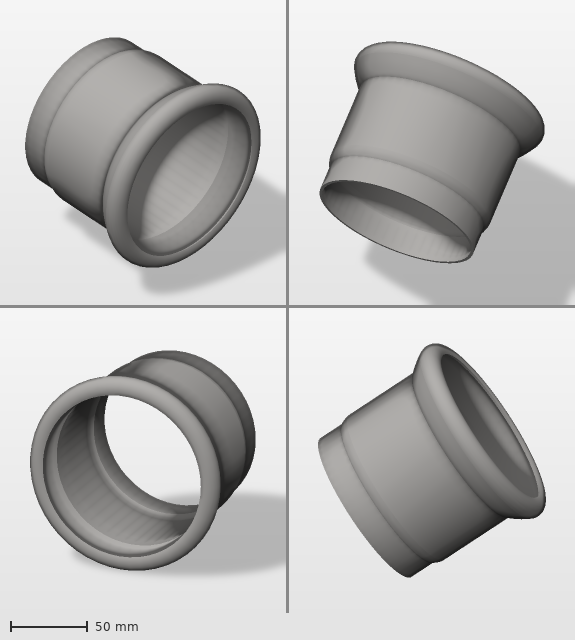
import cadquery as cq
import math

length = 100.0
outer_radius = 132.5 / 2
wall = 2.0

spigot_radius = 108.0 / 2
socket_radius = 112.7 / 2
step_start = 18.0
step_end = 24.9

flare_start = 76.5
flare_end = 89.4
lip_radius = 7.3
mouth_radius = 110.8 / 2

step_rise = socket_radius - spigot_radius
step_run = step_end - step_start
step_arc_radius = (step_run**2 + step_rise**2) / (2 * step_rise)
step_center = (step_end, socket_radius - step_arc_radius)

lip_center = (length - lip_radius, outer_radius - lip_radius)
lip_start_angle = math.acos((flare_end - lip_center[0]) / lip_radius)
lip_end_angle = math.asin((mouth_radius - lip_center[1]) / lip_radius)

normal = (math.cos(lip_start_angle), math.sin(lip_start_angle))
flare_run = flare_end - flare_start
flare_rise = lip_center[1] + lip_radius * normal[1] - socket_radius
flare_arc_radius = (flare_run**2 + flare_rise**2) / (2 * (flare_run * normal[0] + flare_rise * normal[1]))
flare_center = (
    lip_center[0] - (flare_arc_radius - lip_radius) * normal[0],
    lip_center[1] - (flare_arc_radius - lip_radius) * normal[1],
)


def arc_point(center, radius, angle):
    """Point (axial position, distance from axis) on an arc."""
    return (center[0] + radius * math.cos(angle), center[1] + radius * math.sin(angle))


def arc_points(center, radius, start_angle, end_angle):
    """Start, middle and end points of an arc."""
    middle_angle = (start_angle + end_angle) / 2
    return [arc_point(center, radius, angle) for angle in (start_angle, middle_angle, end_angle)]


def surface_arcs(inset):
    """Step, flare and lip arcs of the surface lying inset below the outside."""
    step_radius = step_arc_radius - inset
    flare_radius = flare_arc_radius - inset
    step_angle = math.pi - math.asin((spigot_radius - inset - step_center[1]) / step_radius)
    flare_angle = math.pi - math.asin((socket_radius - inset - flare_center[1]) / flare_radius)
    return [
        arc_points(step_center, step_radius, step_angle, math.pi / 2),
        arc_points(flare_center, flare_radius, flare_angle, lip_start_angle),
        arc_points(lip_center, lip_radius - inset, lip_start_angle, lip_end_angle),
    ]


def sleeve_profile():
    """Closed wall section: along the outside, around the lip and back inside."""
    outer_step, outer_flare, outer_lip = surface_arcs(0)
    inner_step, inner_flare, inner_lip = surface_arcs(wall)
    return (
        cq.Workplane("XY")
        .moveTo(0, spigot_radius)
        .lineTo(*outer_step[0])
        .threePointArc(*outer_step[1:])
        .lineTo(*outer_flare[0])
        .threePointArc(*outer_flare[1:])
        .threePointArc(*outer_lip[1:])
        .lineTo(*inner_lip[2])
        .threePointArc(inner_lip[1], inner_lip[0])
        .threePointArc(inner_flare[1], inner_flare[0])
        .lineTo(*inner_step[2])
        .threePointArc(inner_step[1], inner_step[0])
        .lineTo(0, spigot_radius - wall)
        .close()
    )


result = sleeve_profile().revolve(360, (0, 0, 0), (1, 0, 0))